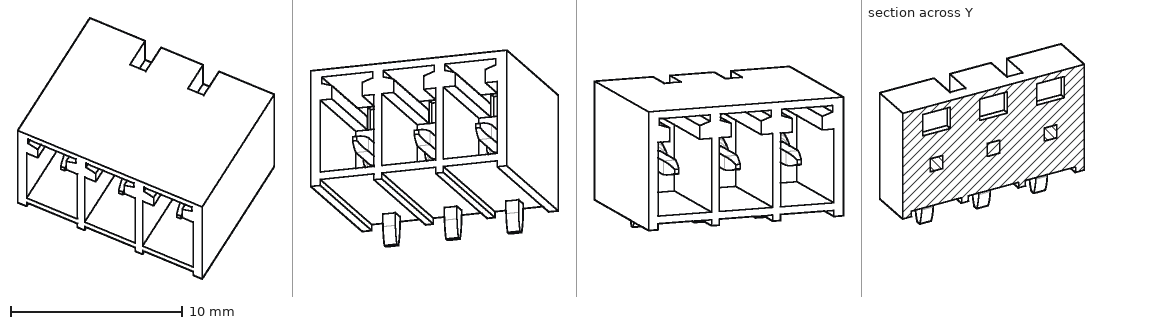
import cadquery as cq
import math

HOUSING_WIDTH = 12.12
HOUSING_DEPTH = 9.2
HOUSING_HEIGHT = 7.09
TOTAL_HEIGHT = 8.57
POLE_COUNT = 3
PITCH = 3.8

CAVITY_WIDTH = 3.32
CAVITY_DEPTH = 6.3
CAVITY_FLOOR_Z = 0.82
CAVITY_TOP_Z = HOUSING_HEIGHT - 1.87
SLOT_WIDTH = 1.87
SLOT_FLANGE_WIDTH = 3.15
SLOT_ROOF_Z = HOUSING_HEIGHT - 0.46
FLANGE_SIDE_HEIGHT = 0.38
FLANGE_SLOPE_HEIGHT = 0.22

RECESS_CLEARANCE = 0.018
RECESS_DEPTH = 0.48

GROOVE_HEIGHT = 0.36
NOTCH_WIDTH = 1.04
NOTCH_DEPTH = 1.94
NOTCH_FLOOR_Z = CAVITY_TOP_Z

BOSS_BASE_RADIUS = 1.08
BOSS_TOP_RADIUS = 0.86
BOSS_LENGTH = 0.97
BOSS_ROUNDING = 0.18

PIN_WIDTH = 0.78
PIN_THICKNESS = 0.82
PIN_AXIS_Z = HOUSING_HEIGHT - 3.99
CONTACT_TIP_Y = 1.37
CONTACT_TAPER_LENGTH = 1.27
CONTACT_TIP_SIZE = 0.27
LEG_CENTRE_Y = HOUSING_DEPTH - 1.31
LEG_TIP_Z = HOUSING_HEIGHT - TOTAL_HEIGHT
LEG_TAPER_LENGTH = 1.09
LEG_TIP_THICKNESS = 0.32
TAPER_MID_INSET = 0.31

POLE_XS = [(i - (POLE_COUNT - 1) / 2) * PITCH for i in range(POLE_COUNT)]
GAP_XS = [(a + b) / 2 for a, b in zip(POLE_XS, POLE_XS[1:])]


def block(width, y_range, z_range, x=0.0):
    """Box centred on x that fills the given Y and Z ranges."""
    depth = y_range[1] - y_range[0]
    height = z_range[1] - z_range[0]
    box = cq.Workplane("XY").box(width, depth, height, centered=(True, False, False))
    return box.translate((x, y_range[0], z_range[0]))


def keyed_slot(x):
    """Slot between two lips, widened under the roof by flanges with sloped floors."""
    half_slot = SLOT_WIDTH / 2
    half_flange = SLOT_FLANGE_WIDTH / 2
    flange_side_z = SLOT_ROOF_Z - FLANGE_SIDE_HEIGHT
    slope_end_z = flange_side_z - FLANGE_SLOPE_HEIGHT
    outline = [
        (x - half_slot, CAVITY_TOP_Z),
        (x - half_slot, slope_end_z),
        (x - half_flange, flange_side_z),
        (x - half_flange, SLOT_ROOF_Z),
        (x + half_flange, SLOT_ROOF_Z),
        (x + half_flange, flange_side_z),
        (x + half_slot, slope_end_z),
        (x + half_slot, CAVITY_TOP_Z),
    ]
    return cq.Workplane("XZ").polyline(outline).close().extrude(-CAVITY_DEPTH)


def boss(x):
    """Rounded conical boss that stands on the back wall of the cavity around the pin."""
    wall = cq.Workplane("XZ", origin=(x, CAVITY_DEPTH, PIN_AXIS_Z))
    draft = math.degrees(math.atan((BOSS_BASE_RADIUS - BOSS_TOP_RADIUS) / BOSS_LENGTH))
    cone = wall.circle(BOSS_BASE_RADIUS).extrude(BOSS_LENGTH, taper=draft)
    return cone.faces("<Y").edges().fillet(BOSS_ROUNDING)


def pin_side_profile():
    """Side outline of the bent pin, with both ends tapered by arcs."""
    half = PIN_THICKNESS / 2
    top_z = PIN_AXIS_Z + half
    bottom_z = PIN_AXIS_Z - half
    front_y = LEG_CENTRE_Y - half
    back_y = LEG_CENTRE_Y + half

    contact_half_tip = CONTACT_TIP_SIZE / 2
    contact_mid_half = half - TAPER_MID_INSET * (half - contact_half_tip)
    contact_taper_y = CONTACT_TIP_Y + CONTACT_TAPER_LENGTH
    contact_mid_y = CONTACT_TIP_Y + CONTACT_TAPER_LENGTH / 2

    leg_half_tip = LEG_TIP_THICKNESS / 2
    leg_mid_half = half - TAPER_MID_INSET * (half - leg_half_tip)
    leg_taper_z = LEG_TIP_Z + LEG_TAPER_LENGTH
    leg_mid_z = LEG_TIP_Z + LEG_TAPER_LENGTH / 2

    return (
        cq.Workplane("YZ")
        .moveTo(back_y, top_z)
        .lineTo(contact_taper_y, top_z)
        .threePointArc(
            (contact_mid_y, PIN_AXIS_Z + contact_mid_half),
            (CONTACT_TIP_Y, PIN_AXIS_Z + contact_half_tip),
        )
        .lineTo(CONTACT_TIP_Y, PIN_AXIS_Z - contact_half_tip)
        .threePointArc((contact_mid_y, PIN_AXIS_Z - contact_mid_half), (contact_taper_y, bottom_z))
        .lineTo(front_y, bottom_z)
        .lineTo(front_y, leg_taper_z)
        .threePointArc((LEG_CENTRE_Y - leg_mid_half, leg_mid_z), (LEG_CENTRE_Y - leg_half_tip, LEG_TIP_Z))
        .lineTo(LEG_CENTRE_Y + leg_half_tip, LEG_TIP_Z)
        .threePointArc((LEG_CENTRE_Y + leg_mid_half, leg_mid_z), (back_y, leg_taper_z))
        .close()
    )


def make_pin(x):
    """Bent pin whose contact tip also narrows evenly from side to side."""
    bent = pin_side_profile().extrude(PIN_WIDTH / 2, both=True)
    half_width = PIN_WIDTH / 2
    half_tip = CONTACT_TIP_SIZE / 2
    taper_end_y = CONTACT_TIP_Y + CONTACT_TAPER_LENGTH
    back_y = LEG_CENTRE_Y + PIN_THICKNESS / 2
    plan = [
        (-half_tip, CONTACT_TIP_Y),
        (half_tip, CONTACT_TIP_Y),
        (half_width, taper_end_y),
        (half_width, back_y),
        (-half_width, back_y),
        (-half_width, taper_end_y),
    ]
    envelope = cq.Workplane("XY").workplane(offset=LEG_TIP_Z).polyline(plan).close().extrude(TOTAL_HEIGHT)
    return bent.intersect(envelope).translate((x, 0, 0))


def make_housing(pins):
    """Shrouded housing with keyed cavities and a fitting passage for each pin."""
    body = block(HOUSING_WIDTH, (0, HOUSING_DEPTH), (0, HOUSING_HEIGHT))
    recess_width = SLOT_WIDTH - 2 * RECESS_CLEARANCE
    recess_roof_z = SLOT_ROOF_Z - RECESS_CLEARANCE
    for x in POLE_XS:
        body = body.cut(block(CAVITY_WIDTH, (0, CAVITY_DEPTH), (CAVITY_FLOOR_Z, CAVITY_TOP_Z), x))
        body = body.cut(keyed_slot(x))
        recess_y_range = (CAVITY_DEPTH, CAVITY_DEPTH + RECESS_DEPTH)
        body = body.cut(block(recess_width, recess_y_range, (CAVITY_TOP_Z, recess_roof_z), x))
        body = body.cut(block(CAVITY_WIDTH, (0, HOUSING_DEPTH), (0, GROOVE_HEIGHT), x))
        body = body.union(boss(x))
    for x in GAP_XS:
        notch_y_range = (HOUSING_DEPTH - NOTCH_DEPTH, HOUSING_DEPTH)
        body = body.cut(block(NOTCH_WIDTH, notch_y_range, (NOTCH_FLOOR_Z, HOUSING_HEIGHT), x))
    for pin in pins:
        body = body.cut(pin)
    return body


pins = [make_pin(x) for x in POLE_XS]
housing = make_housing(pins)

result = cq.Compound.makeCompound([housing.val(), *[pin.val() for pin in pins]])